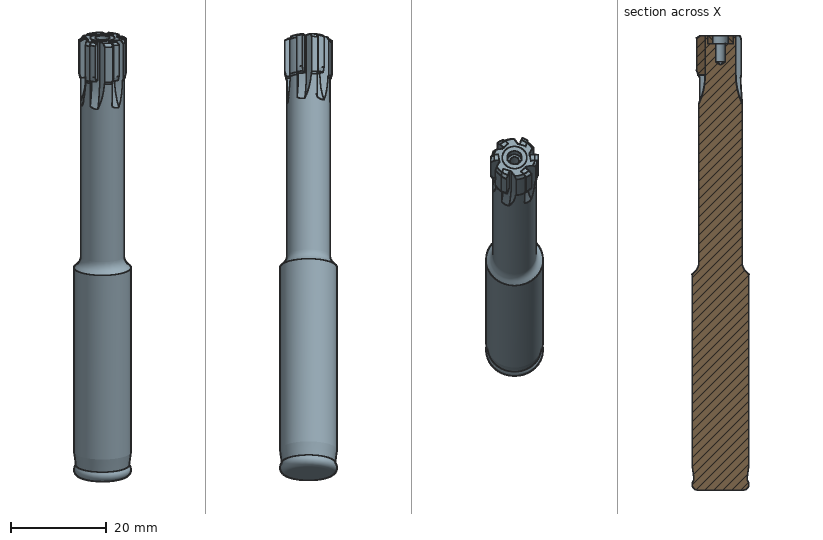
import cadquery as cq
import math

TOTAL_LENGTH = 95.0
SHANK_RADIUS = 6.0
NECK_RADIUS = 4.6

COLLAR_ROUND = 1.2
COLLAR_TOP = 2.0
GROOVE_DEPTH = 0.4
GROOVE_BOTTOM = 2.3
GROOVE_TOP = 5.1

SHOULDER_Z = 45.1
SHOULDER_CHAMFER = 0.6
FILLET_TOP = 47.6

TOOTH_ANGLES = [0, 55, 116, 180, 235, 296]
HEAD_RADIUS = 4.75
HEAD_BOTTOM = 86.6
HEAD_STEP_HEIGHT = 0.5
HEAD_CHAMFER_HEIGHT = 0.8
HEAD_CHAMFER_WIDTH = 0.5

SEAT_X = -1.3
FLOOR_Y = -3.2
FLOOR_END_X = 0.4
SLOPE_ANGLE = 37.0
FLUTE_END = 80.75
RUNOUT_OVERRUN = 1.1
CLEARANCE_Y = -5.7

BLADE_RADIUS = 5.0
BLADE_FACE_X = 0.0
BLADE_BOTTOM = 86.7
BLADE_TAPER_HEIGHT = 1.0
BLADE_CHAMFER_HEIGHT = 0.5
BLADE_CHAMFER_WIDTH = 0.8
MARGIN_WIDTH = 0.3
RELIEF_WIDTH = 0.5
RELIEF_DROP = 0.1
BACK_Y = -4.75

SLEEVE_RADIUS = 2.6
SLEEVE_BORE_RADIUS = 1.5
SLEEVE_LENGTH = 1.7

HOLE_RADIUS = 0.95
HOLE_DEPTH = 3.8
DRILL_POINT_ANGLE = 118.0


def on_each_tooth(body):
    """Copies of a body at every tooth position around Z."""
    return [body.rotate((0, 0, 0), (0, 0, 1), angle) for angle in TOOTH_ANGLES]


def turned_blank():
    """Shank, neck and head as one turned shape."""
    collar_centre_r = SHANK_RADIUS - COLLAR_ROUND
    collar_top_r = collar_centre_r + math.sqrt(COLLAR_ROUND**2 - (COLLAR_TOP - COLLAR_ROUND) ** 2)
    fillet_bottom_r = SHANK_RADIUS - SHOULDER_CHAMFER
    fillet_bottom_z = SHOULDER_Z + SHOULDER_CHAMFER
    fillet_width = fillet_bottom_r - NECK_RADIUS
    fillet_height = FILLET_TOP - fillet_bottom_z
    fillet_radius = (fillet_height**2 + fillet_width**2) / (2 * fillet_width)
    return (
        cq.Workplane("XZ")
        .lineTo(collar_centre_r, 0)
        .threePointArc((SHANK_RADIUS, COLLAR_ROUND), (collar_top_r, COLLAR_TOP))
        .lineTo(SHANK_RADIUS - GROOVE_DEPTH, GROOVE_BOTTOM)
        .lineTo(SHANK_RADIUS, GROOVE_TOP)
        .lineTo(SHANK_RADIUS, SHOULDER_Z)
        .lineTo(fillet_bottom_r, fillet_bottom_z)
        .radiusArc((NECK_RADIUS, FILLET_TOP), fillet_radius)
        .lineTo(NECK_RADIUS, HEAD_BOTTOM - HEAD_STEP_HEIGHT)
        .lineTo(HEAD_RADIUS, HEAD_BOTTOM)
        .lineTo(HEAD_RADIUS, TOTAL_LENGTH - HEAD_CHAMFER_HEIGHT)
        .lineTo(HEAD_RADIUS - HEAD_CHAMFER_WIDTH, TOTAL_LENGTH)
        .lineTo(0, TOTAL_LENGTH)
        .close()
        .revolve(360, (0, 0, 0), (0, 1, 0))
    )


def flute_cutter():
    """Flute section swept down from the tip, then outward along the run-out arc."""
    floor_depth = NECK_RADIUS + FLOOR_Y
    runout_drop = BLADE_BOTTOM - FLUTE_END
    runout_radius = (runout_drop**2 + floor_depth**2) / (2 * floor_depth)
    runout_angle = RUNOUT_OVERRUN * math.asin(runout_drop / runout_radius)

    def arc_point(angle):
        return (
            FLOOR_Y - runout_radius * (1 - math.cos(angle)),
            BLADE_BOTTOM - runout_radius * math.sin(angle),
        )

    path = (
        cq.Workplane("YZ")
        .moveTo(FLOOR_Y, TOTAL_LENGTH)
        .lineTo(FLOOR_Y, BLADE_BOTTOM)
        .threePointArc(arc_point(runout_angle / 2), arc_point(runout_angle))
    )
    slope_run = (FLOOR_Y - CLEARANCE_Y) / math.tan(math.radians(SLOPE_ANGLE))
    return (
        cq.Workplane("XY", origin=(0, 0, TOTAL_LENGTH))
        .moveTo(SEAT_X, FLOOR_Y)
        .lineTo(FLOOR_END_X, FLOOR_Y)
        .lineTo(FLOOR_END_X + slope_run, CLEARANCE_Y)
        .lineTo(SEAT_X, CLEARANCE_Y)
        .close()
        .sweep(path)
    )


def sleeve_pocket():
    """Recess for the sleeve, with a narrower blind hole below it ending in a drill point."""
    seat_z = TOTAL_LENGTH - SLEEVE_LENGTH
    hole_bottom = seat_z - HOLE_DEPTH
    point_depth = HOLE_RADIUS / math.tan(math.radians(DRILL_POINT_ANGLE / 2))
    return (
        cq.Workplane("XZ")
        .moveTo(0, TOTAL_LENGTH)
        .lineTo(SLEEVE_RADIUS, TOTAL_LENGTH)
        .lineTo(SLEEVE_RADIUS, seat_z)
        .lineTo(HOLE_RADIUS, seat_z)
        .lineTo(HOLE_RADIUS, hole_bottom)
        .lineTo(0, hole_bottom - point_depth)
        .close()
        .revolve(360, (0, 0, 0), (0, 1, 0))
    )


def make_holder():
    holder = turned_blank().cut(sleeve_pocket())
    for cutter in on_each_tooth(flute_cutter()):
        holder = holder.cut(cutter)
    return holder


def make_blade():
    """Blade between the seat wall and the cutting face, turned to the cutting radius."""
    outside = (
        cq.Workplane("XZ")
        .moveTo(0, BLADE_BOTTOM)
        .lineTo(HEAD_RADIUS, BLADE_BOTTOM)
        .lineTo(BLADE_RADIUS, BLADE_BOTTOM + BLADE_TAPER_HEIGHT)
        .lineTo(BLADE_RADIUS, TOTAL_LENGTH - BLADE_CHAMFER_HEIGHT)
        .lineTo(BLADE_RADIUS - BLADE_CHAMFER_WIDTH, TOTAL_LENGTH)
        .lineTo(0, TOTAL_LENGTH)
        .close()
        .revolve(360, (0, 0, 0), (0, 1, 0))
    )
    margin_x = BLADE_FACE_X - MARGIN_WIDTH
    margin_y = -math.sqrt(BLADE_RADIUS**2 - margin_x**2)
    plate = (
        cq.Workplane("XY", origin=(0, 0, BLADE_BOTTOM))
        .moveTo(SEAT_X, FLOOR_Y)
        .lineTo(BLADE_FACE_X, FLOOR_Y)
        .lineTo(BLADE_FACE_X, CLEARANCE_Y)
        .lineTo(margin_x, CLEARANCE_Y)
        .lineTo(margin_x, margin_y)
        .lineTo(margin_x - RELIEF_WIDTH, margin_y + RELIEF_DROP)
        .lineTo(SEAT_X, BACK_Y)
        .close()
        .extrude(TOTAL_LENGTH - BLADE_BOTTOM)
    )
    return plate.intersect(outside)


def make_sleeve():
    return (
        cq.Workplane("XY", origin=(0, 0, TOTAL_LENGTH - SLEEVE_LENGTH))
        .circle(SLEEVE_RADIUS)
        .circle(SLEEVE_BORE_RADIUS)
        .extrude(SLEEVE_LENGTH)
    )


holder = make_holder()
blades = on_each_tooth(make_blade())
sleeve = make_sleeve()

result = cq.Compound.makeCompound(
    [holder.val(), *[blade.val() for blade in blades], sleeve.val()]
)